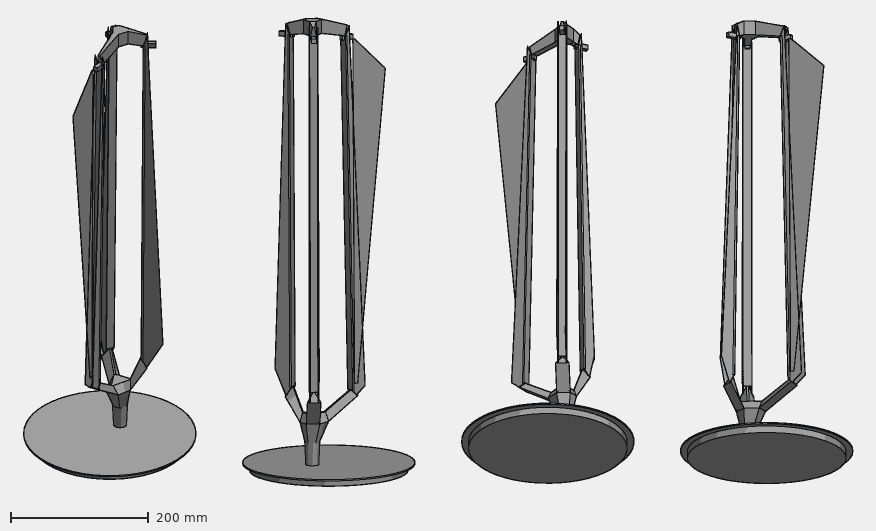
import cadquery as cq
import math

PLATE_DIAMETER = 250.0
PLATE_THICKNESS = 2.0
WEIGHT_DIAMETER = 230.0
WEIGHT_HEIGHT = 10.0
PLATE_TOP = WEIGHT_HEIGHT + PLATE_THICKNESS

AXIS_Y = 29.0

FOOT_RADIUS = 9.5
NECK_RADIUS = 11.0
NECK_Z = 46.0
CORE_BOTTOM = 75.0
CORE_TOP = 88.0
LOWER_ARM_WIDTH = 20.0
LOWER_ARM_RIDGE = 3.0

OVERALL_HEIGHT = 670.29
UPPER_HUB_HEIGHT = 21.0
UPPER_HUB_BOTTOM = OVERALL_HEIGHT - UPPER_HUB_HEIGHT
UPPER_ARM_WIDTH = 10.0
UPPER_ARM_RIDGE = 3.0
TAB_WIDTH = 7.0
TAB_HEIGHT = 7.0

RAIL_WIDTH = 13.0
FLANGE_THICKNESS = 0.8
WEB_THICKNESS = 3.0

BLADE_THICKNESS = 0.6
BLADE_INNER = 67.5
BLADE_TOP = 635.0
BLADE_SHOULDER = 70.5
BLADE_TIP_RADIUS = 124.5
BLADE_TIP_Z = 585.0
BLADE_FOOT_INNER = 70.5
BLADE_FOOT_RADIUS = 76.0
BLADE_FOOT_Z = 125.0

ARMS = [
    dict(angle=270, lower_mouth=22.0, upper_mouth=13.0, tab_z=638.0, tab_length=9.0,
         top_inner=(54.0, 641.0), top_outer=(60.5, 656.0),
         right_tip=(88.5, 120.0), left_tip=(88.5, 120.0),
         heel=(73.5, 107.5), seat=(66.5, 115.0)),
    dict(angle=30, lower_mouth=15.0, upper_mouth=12.0, tab_z=646.0, tab_length=12.0,
         top_inner=(33.5, 646.0), top_outer=(40.0, 662.0),
         right_tip=(62.5, 150.0), left_tip=(57.0, 150.0),
         heel=(39.0, 111.0), seat=(30.5, 125.0)),
    dict(angle=150, lower_mouth=15.0, upper_mouth=12.0, tab_z=646.0, tab_length=12.0,
         top_inner=(20.0, 646.0), top_outer=(24.5, 664.0),
         right_tip=(45.5, 150.0), left_tip=(51.5, 150.0),
         heel=(37.5, 111.0), seat=(28.5, 125.0)),
]
FRONT_ARM = ARMS[0]


def place(shape, angle):
    """Turn a shape built along +X to an arm's direction and move it onto the stem axis."""
    return shape.rotate((0, 0, 0), (0, 0, 1), angle).translate((0, AXIS_Y, 0))


def radial_plate(points, side, thickness):
    """A flat plate in the radial plane, from `side` to `side + thickness` across it."""
    plate = cq.Workplane("XZ").polyline(points).close().extrude(-thickness)
    return plate.translate((0, side, 0))


def loft(lower_points, upper_points):
    """A straight-sided solid between two closed outlines."""
    wires = []
    for points in (lower_points, upper_points):
        wires.append(cq.Wire.makePolygon([cq.Vector(*p) for p in points], close=True))
    return cq.Workplane(cq.Solid.makeLoft(wires, True))


def cross_section(bottom, top, bottom_width, top_width):
    """Four corners of an arm's section from its (radius, height) at bottom and top."""
    return [
        (bottom[0], -bottom_width / 2, bottom[1]),
        (bottom[0], bottom_width / 2, bottom[1]),
        (top[0], top_width / 2, top[1]),
        (top[0], -top_width / 2, top[1]),
    ]


def hub_outline(mouth, width, height):
    """Hexagon at one height whose alternate sides are the mouths of the three arms."""
    corners = []
    for arm in ARMS:
        reach = arm[mouth]
        turn = math.radians(arm["angle"])
        for side in (-width / 2, width / 2):
            x = reach * math.cos(turn) - side * math.sin(turn)
            y = reach * math.sin(turn) + side * math.cos(turn)
            corners.append((x, y, height))
    return corners


def base_weight():
    return cq.Workplane("XY").circle(WEIGHT_DIAMETER / 2).extrude(WEIGHT_HEIGHT)


def cover_plate():
    plate = cq.Workplane("XY").workplane(offset=WEIGHT_HEIGHT)
    return plate.circle(PLATE_DIAMETER / 2).extrude(PLATE_THICKNESS)


def lower_hub():
    foot = (
        cq.Workplane("XY").workplane(offset=PLATE_TOP).circle(FOOT_RADIUS)
        .workplane(offset=NECK_Z - PLATE_TOP).circle(NECK_RADIUS).loft(ruled=True)
    )
    width, ridge = LOWER_ARM_WIDTH, LOWER_ARM_RIDGE
    core = loft(
        hub_outline("lower_mouth", width, CORE_BOTTOM),
        hub_outline("lower_mouth", ridge, CORE_TOP),
    )
    flare = cq.Workplane(cq.Solid.makeLoft([
        cq.Wire.makeCircle(NECK_RADIUS, cq.Vector(0, 0, NECK_Z), cq.Vector(0, 0, 1)),
        core.faces("<Z").wires().val(),
    ], True))
    hub = foot.union(flare).union(core).translate((0, AXIS_Y, 0))
    for arm in ARMS:
        reach = arm["lower_mouth"]
        mouth = cross_section((reach, CORE_BOTTOM), (reach, CORE_TOP), width, ridge)
        end = cross_section(arm["heel"], arm["seat"], width, ridge)
        hub = hub.union(place(loft(mouth, end), arm["angle"]))
    return hub


def tab(arm):
    """Small bar that runs from the upper arm through the rail's web."""
    inner = arm["top_inner"][0] - WEB_THICKNESS
    length = arm["top_outer"][0] + arm["tab_length"] - inner
    bar = cq.Workplane("XY").box(length, TAB_WIDTH, TAB_HEIGHT, centered=(False, True, True))
    return place(bar.translate((inner, 0, arm["tab_z"])), arm["angle"])


def upper_hub():
    width = UPPER_ARM_WIDTH
    core = loft(
        hub_outline("upper_mouth", width, UPPER_HUB_BOTTOM),
        hub_outline("upper_mouth", width, OVERALL_HEIGHT),
    )
    hub = core.translate((0, AXIS_Y, 0))
    for arm in ARMS:
        reach = arm["upper_mouth"]
        mouth = cross_section((reach, UPPER_HUB_BOTTOM), (reach, OVERALL_HEIGHT), width, width)
        end = cross_section(arm["top_inner"], arm["top_outer"], width, UPPER_ARM_RIDGE)
        hub = hub.union(place(loft(mouth, end), arm["angle"])).union(tab(arm))
    return hub


def rail(arm):
    """Channel with its web on the inner side and two flanges that deepen downward."""
    (top_r, top_z), (seat_r, seat_z) = arm["top_inner"], arm["seat"]
    web = [(top_r, top_z), (top_r + WEB_THICKNESS, top_z), (seat_r + WEB_THICKNESS, seat_z), (seat_r, seat_z)]
    half_width = RAIL_WIDTH / 2
    channel = radial_plate(web, -half_width, RAIL_WIDTH)
    flange_sides = [("right_tip", -half_width), ("left_tip", half_width - FLANGE_THICKNESS)]
    for tip, side in flange_sides:
        flange = [arm["top_inner"], arm["top_outer"], arm[tip], arm["heel"], arm["seat"]]
        channel = channel.union(radial_plate(flange, side, FLANGE_THICKNESS))
    return place(channel, arm["angle"]).cut(tab(arm))


def blade():
    """Kite-like sheet against the inside of the front rail's flange."""
    outline = [
        (BLADE_INNER, BLADE_TOP),
        (BLADE_SHOULDER, BLADE_TOP),
        (BLADE_TIP_RADIUS, BLADE_TIP_Z),
        (BLADE_FOOT_RADIUS, BLADE_FOOT_Z),
        (BLADE_FOOT_INNER, BLADE_FOOT_Z),
    ]
    side = FLANGE_THICKNESS - RAIL_WIDTH / 2
    return place(radial_plate(outline, side, BLADE_THICKNESS), FRONT_ARM["angle"])


weight = base_weight()
plate = cover_plate()
stem = lower_hub()
crown = upper_hub()
rails = [rail(arm) for arm in ARMS]
front_blade = blade()

result = cq.Compound.makeCompound([
    weight.val(),
    plate.val(),
    *stem.vals(),
    *crown.vals(),
    *[channel.val() for channel in rails],
    front_blade.val(),
])